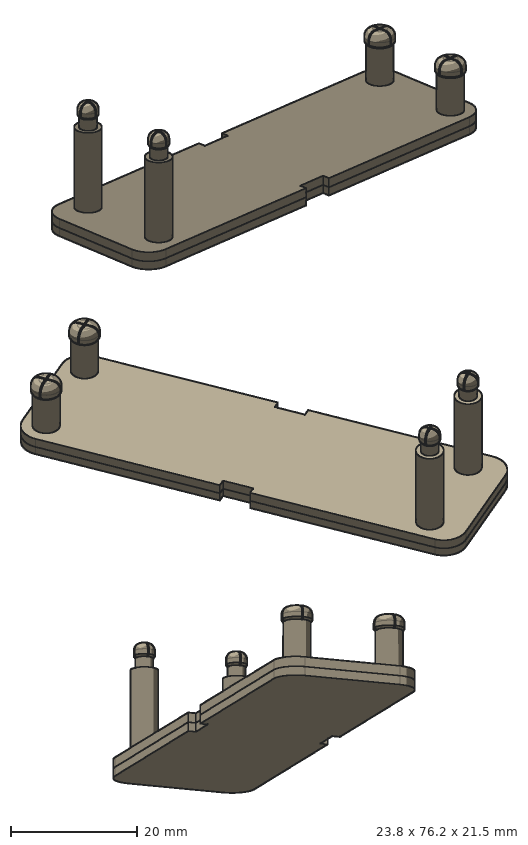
import cadquery as cq

LENGTH = 76.2
WIDTH = 23.8
CORNER_RADIUS = 3.8
LOWER_THICKNESS = 1.45
UPPER_THICKNESS = 1.6

NOTCH_LENGTH = 5.2
NOTCH_DEPTH = 1.3

POST_X = 7.85
POST_RADIUS = 4.4 / 2
SHORT_POST_Y = 34.1
POST_SPACING_Y = 65.9
TALL_POST_Y = SHORT_POST_Y - POST_SPACING_Y
NECK_RADIUS = 2.9 / 2
SHOULDER_Z = 17.1

SHORT_TOP_Z = 12.1
TALL_TOP_Z = 21.5
HEAD_HEIGHT = 2.5
HEAD_LIP = 0.27
HEAD_ROUND = 1.3
LEAD_IN_HEIGHT = 0.4
SLOT_WIDTH = 0.25


def plate(bottom_z, thickness):
    """Plate with rounded corners and a notch in each long side."""
    body = (
        cq.Workplane("XY", origin=(0, 0, bottom_z))
        .rect(WIDTH, LENGTH)
        .extrude(thickness)
        .edges("|Z")
        .fillet(CORNER_RADIUS)
    )
    notches = (
        cq.Workplane("XY", origin=(0, 0, bottom_z))
        .pushPoints([(-WIDTH / 2, 0), (WIDTH / 2, 0)])
        .rect(2 * NOTCH_DEPTH, NOTCH_LENGTH)
        .extrude(thickness)
    )
    return body.cut(notches)


def cylinder(x, y, radius, bottom_z, top_z):
    """Upright cylinder between two heights."""
    return cq.Workplane("XY", origin=(x, y, bottom_z)).circle(radius).extrude(top_z - bottom_z)


def snap_head(x, y, stem_radius, top_z):
    """Rounded head that overhangs its stem, split by two crossing slots."""
    head_radius = stem_radius + HEAD_LIP
    bottom_z = top_z - HEAD_HEIGHT
    rim_z = bottom_z + LEAD_IN_HEIGHT
    lead_in = (
        cq.Workplane("XY", origin=(x, y, bottom_z))
        .circle(stem_radius)
        .workplane(offset=LEAD_IN_HEIGHT)
        .circle(head_radius)
        .loft(ruled=True)
    )
    dome = cylinder(x, y, head_radius, rim_z, top_z).faces(">Z").edges().fillet(HEAD_ROUND)
    head = lead_in.union(dome)
    for slot_x, slot_y in [(SLOT_WIDTH, 2 * head_radius), (2 * head_radius, SLOT_WIDTH)]:
        slot = cq.Workplane("XY", origin=(x, y, bottom_z)).rect(slot_x, slot_y).extrude(HEAD_HEIGHT)
        head = head.cut(slot)
    return head


def short_post(x):
    """Plain post with a snap head as its top."""
    stem = cylinder(x, SHORT_POST_Y, POST_RADIUS, LOWER_THICKNESS, SHORT_TOP_Z - HEAD_HEIGHT)
    return stem.union(snap_head(x, SHORT_POST_Y, POST_RADIUS, SHORT_TOP_Z))


def tall_post(x):
    """Shouldered post with a thinner neck and a small snap head."""
    stem = cylinder(x, TALL_POST_Y, POST_RADIUS, LOWER_THICKNESS, SHOULDER_Z)
    neck = cylinder(x, TALL_POST_Y, NECK_RADIUS, SHOULDER_Z, TALL_TOP_Z - HEAD_HEIGHT)
    return stem.union(neck).union(snap_head(x, TALL_POST_Y, NECK_RADIUS, TALL_TOP_Z))


def post_plate():
    """Upper plate with its four posts."""
    body = plate(LOWER_THICKNESS, UPPER_THICKNESS)
    for x in (-POST_X, POST_X):
        body = body.union(short_post(x)).union(tall_post(x))
    return body


lower_plate = plate(0, LOWER_THICKNESS)
upper_plate = post_plate()

result = cq.Compound.makeCompound([lower_plate.val(), upper_plate.val()])